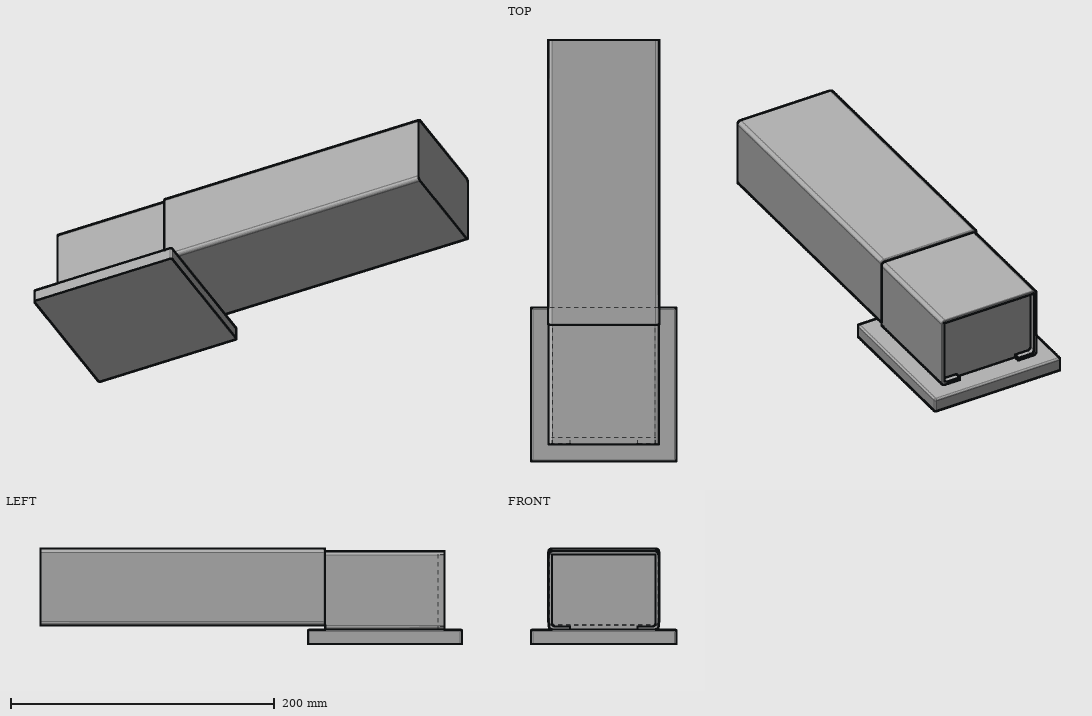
import cadquery as cq

plate_width = 110.41
plate_length = 116.91
plate_height = 11.0
plate_edge_radius = 1.45

head_side_margin = 13.5
head_end_margin = 13.2
head_width = plate_width - 2 * head_side_margin
head_front = head_end_margin
head_rear = plate_length - head_end_margin
head_height = 59.51
head_corner_radius = 3.0
head_end_radius = 0.5

wall_thickness = 2.5
opening_corner_radius = 2.5
lip_length = 13.5
recess_depth = 5.2

overall_length = 319.51
arm_step = 2.0
arm_width = 84.1
arm_height = 58.4
arm_corner_radius = 3.0
arm_end_radius = 0.8
head_top = plate_height + head_height
arm_bottom = head_top + arm_step - arm_height


def centred_box(width, length, height):
    """Box centred on X, with its front at Y = 0 and its underside at Z = 0."""
    return cq.Workplane("XY").box(width, length, height, centered=(True, False, False))


def rounded_bar(width, length, height, corner_radius, end_radius):
    """Bar along Y with rounded long edges and a softened front end."""
    bar = centred_box(width, length, height).edges("|Y").fillet(corner_radius)
    return bar.faces("<Y").edges().fillet(end_radius)


def base_plate():
    """Flat plate with rounded upright and top edges."""
    plate = centred_box(plate_width, plate_length, plate_height)
    plate = plate.edges("|Z").fillet(plate_edge_radius)
    return plate.faces(">Z").edges().fillet(plate_edge_radius)


def front_recess():
    """Space in front of the panel: the channel interior and the gap between its lips."""
    opening_width = head_width - 2 * wall_thickness
    opening_height = head_height - 2 * wall_thickness
    interior = centred_box(opening_width, recess_depth, opening_height)
    interior = interior.edges("|Y and <Z").fillet(opening_corner_radius)
    interior = interior.translate((0, 0, wall_thickness))

    lip_gap_width = opening_width - 2 * lip_length
    lip_gap_height = head_height - wall_thickness
    lip_gap = centred_box(lip_gap_width, recess_depth, lip_gap_height)
    return interior.union(lip_gap)


def head():
    """Head block with the recess cut into its front."""
    head_length = head_rear - head_front
    bar = rounded_bar(head_width, head_length, head_height, head_corner_radius, head_end_radius)
    return bar.cut(front_recess()).translate((0, head_front, plate_height))


def arm():
    """Long bar running from the rear of the head to the far end."""
    arm_length = overall_length - head_rear
    bar = rounded_bar(arm_width, arm_length, arm_height, arm_corner_radius, arm_end_radius)
    return bar.translate((0, head_rear, arm_bottom))


result = base_plate().union(head()).union(arm())